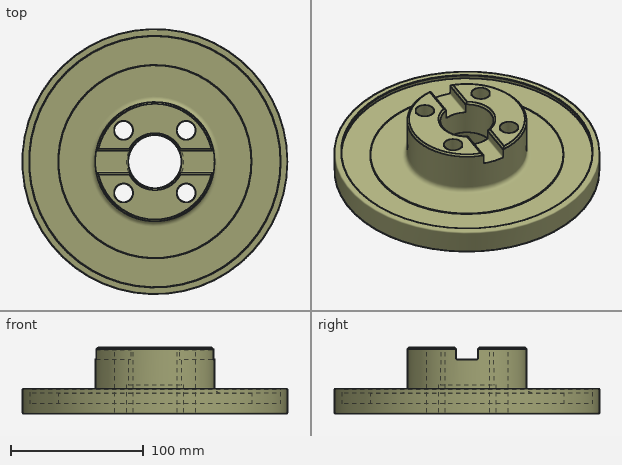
import cadquery as cq

RIM_DIAMETER = 200.0
RIM_HEIGHT = 19.0
RIM_FILLET = 1.2
FLOOR_HEIGHT = 16.0

RING_OUTER_DIAMETER = 189.2
RING_INNER_DIAMETER = 146.0
RING_THICKNESS = 8.0
GROOVE_CHAMFER = 0.5
RING_OUTER_RADIUS = RING_OUTER_DIAMETER / 2
RING_INNER_RADIUS = RING_INNER_DIAMETER / 2
GROOVE_FLOOR = FLOOR_HEIGHT - RING_THICKNESS

HUB_DIAMETER = 90.0
HUB_HEIGHT = 50.0
HUB_FILLET = 4.0
HUB_CHAMFER = 1.5

BORE_DIAMETER = 40.0
BORE_MOUTH_DIAMETER = 43.0
BORE_CHAMFER = (BORE_MOUTH_DIAMETER - BORE_DIAMETER) / 2
COUNTERBORE_DIAMETER = 43.0
COUNTERBORE_DEPTH = 22.0

BOLT_HOLE_DIAMETER = 14.0
BOLT_SPACING = 47.2

SLOT_WIDTH = 16.5
SLOT_DEPTH = 9.0
SLOT_CHAMFER = 1.5
SLOT_FILLET = 1.0


def make_ring():
    """Flat ring that lies in the groove of the disc."""
    return (
        cq.Workplane("XY", origin=(0, 0, GROOVE_FLOOR))
        .circle(RING_OUTER_RADIUS)
        .circle(RING_INNER_RADIUS)
        .extrude(RING_THICKNESS)
    )


def make_turned_hub():
    """Disc, rim, groove and hub as one turned shape, with the bore and its bottom counterbore."""
    rim_radius = RIM_DIAMETER / 2
    rim_flat_radius = rim_radius - RIM_FILLET
    hub_radius = HUB_DIAMETER / 2
    bore_radius = BORE_DIAMETER / 2
    counterbore_radius = COUNTERBORE_DIAMETER / 2
    return (
        cq.Workplane("XZ")
        .moveTo(counterbore_radius, 0)
        .lineTo(rim_flat_radius, 0)
        .radiusArc((rim_radius, RIM_FILLET), -RIM_FILLET)
        .lineTo(rim_radius, RIM_HEIGHT - RIM_FILLET)
        .radiusArc((rim_flat_radius, RIM_HEIGHT), -RIM_FILLET)
        .lineTo(RING_OUTER_RADIUS + GROOVE_CHAMFER, RIM_HEIGHT)
        .lineTo(RING_OUTER_RADIUS, RIM_HEIGHT - GROOVE_CHAMFER)
        .lineTo(RING_OUTER_RADIUS, GROOVE_FLOOR)
        .lineTo(RING_INNER_RADIUS, GROOVE_FLOOR)
        .lineTo(RING_INNER_RADIUS, FLOOR_HEIGHT - GROOVE_CHAMFER)
        .lineTo(RING_INNER_RADIUS - GROOVE_CHAMFER, FLOOR_HEIGHT)
        .lineTo(hub_radius + HUB_FILLET, FLOOR_HEIGHT)
        .radiusArc((hub_radius, FLOOR_HEIGHT + HUB_FILLET), HUB_FILLET)
        .lineTo(hub_radius, HUB_HEIGHT - HUB_CHAMFER)
        .lineTo(hub_radius - HUB_CHAMFER, HUB_HEIGHT)
        .lineTo(BORE_MOUTH_DIAMETER / 2, HUB_HEIGHT)
        .lineTo(bore_radius, HUB_HEIGHT - BORE_CHAMFER)
        .lineTo(bore_radius, COUNTERBORE_DEPTH)
        .lineTo(counterbore_radius, COUNTERBORE_DEPTH)
        .close()
        .revolve(360, (0, 0), (0, 1))
    )


def make_slot_cutter():
    """Slot with chamfered mouth edges and rounded floor corners, running the full width of the hub."""
    half_width = SLOT_WIDTH / 2
    mouth_half_width = half_width + SLOT_CHAMFER
    slot_floor = HUB_HEIGHT - SLOT_DEPTH
    profile = [
        (-half_width, slot_floor),
        (half_width, slot_floor),
        (half_width, HUB_HEIGHT - SLOT_CHAMFER),
        (mouth_half_width, HUB_HEIGHT),
        (-mouth_half_width, HUB_HEIGHT),
        (-half_width, HUB_HEIGHT - SLOT_CHAMFER),
    ]
    slot = cq.Workplane("YZ").polyline(profile).close().extrude(HUB_DIAMETER / 2, both=True)
    return slot.edges("|X and <Z").fillet(SLOT_FILLET)


def make_bolt_hole_cutters():
    return (
        cq.Workplane("XY")
        .rect(BOLT_SPACING, BOLT_SPACING, forConstruction=True)
        .vertices()
        .circle(BOLT_HOLE_DIAMETER / 2)
        .extrude(HUB_HEIGHT)
    )


ring = make_ring()
hub = make_turned_hub().cut(make_slot_cutter()).cut(make_bolt_hole_cutters())

result = cq.Compound.makeCompound([hub.val(), ring.val()])